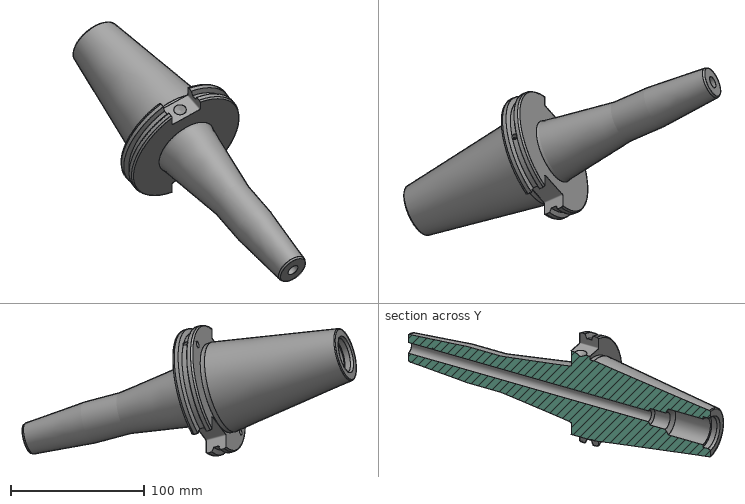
import cadquery as cq
import math

total_length = 261.5
taper_end = 100.7
relief_start = 102.3
flange_start = 104.5
flange_end = 120.9
neck_start = 123.0
sleeve_start = 181.5
sleeve_end = 210.8

taper_small_diameter = 40.5
taper_large_diameter = 69.8
relief_diameter = 69.3
flange_diameter = 98.0
collar_diameter = 49.7
neck_diameter = 48.5
sleeve_diameter = 32.0
nose_diameter = 24.3

taper_chamfer = 0.8
nose_chamfer_length = 1.5
nose_chamfer_height = 0.8
rim_chamfer_length = 1.5
rim_chamfer_height = 0.8

groove_center = (flange_start + flange_end) / 2
groove_floor_width = 4.0
groove_top_width = 7.0
groove_floor_diameter = 90.8

slot_width = 25.6
upper_slot_floor = 37.7
lower_slot_floor = 35.0
slot_corner_radius = 1.0
dimple_diameter = 9.5
dimple_depth = 2.5

mouth_diameter = 28.3
mouth_chamfer_length = 2.0
counterbore_diameter = 26.2
counterbore_depth = 6.5
thread_diameter = 22.0
thread_end = 36.5
step_diameter = 13.9
step_end = 52.3
through_diameter = 9.0

port_angle = 20.0
port_circle_radius = 41.9
port_diameter = 5.0
port_depth = 2.5
channel_diameter = 2.5
plug_diameter = 4.2

drill_point_angle = 118.0


def revolve_profile(points):
    """Revolve (x, radius) points about the X axis."""
    profile = cq.Workplane("XY").polyline(points).close()
    return profile.revolve(360, (0, 0, 0), (1, 0, 0))


def point_length(diameter):
    """Height of the cone left by a drill of this diameter."""
    return diameter / 2 / math.tan(math.radians(drill_point_angle / 2))


def make_body():
    flange_radius = flange_diameter / 2
    rim_edge_radius = flange_radius - rim_chamfer_height
    groove_floor_radius = groove_floor_diameter / 2
    nose_radius = nose_diameter / 2
    return revolve_profile([
        (0, 0),
        (0, taper_small_diameter / 2 - taper_chamfer),
        (taper_chamfer, taper_small_diameter / 2),
        (taper_end, taper_large_diameter / 2),
        (relief_start, relief_diameter / 2),
        (flange_start, relief_diameter / 2),
        (flange_start, rim_edge_radius),
        (flange_start + rim_chamfer_length, flange_radius),
        (groove_center - groove_top_width / 2, flange_radius),
        (groove_center - groove_floor_width / 2, groove_floor_radius),
        (groove_center + groove_floor_width / 2, groove_floor_radius),
        (groove_center + groove_top_width / 2, flange_radius),
        (flange_end - rim_chamfer_length, flange_radius),
        (flange_end, rim_edge_radius),
        (flange_end, collar_diameter / 2),
        (neck_start, neck_diameter / 2),
        (sleeve_start, sleeve_diameter / 2),
        (sleeve_end, sleeve_diameter / 2),
        (total_length - nose_chamfer_length, nose_radius),
        (total_length, nose_radius - nose_chamfer_height),
        (total_length, 0),
    ])


def make_bore():
    thread_point = point_length(thread_diameter) - point_length(step_diameter)
    step_point = point_length(step_diameter) - point_length(through_diameter)
    return revolve_profile([
        (0, 0),
        (0, mouth_diameter / 2),
        (mouth_chamfer_length, counterbore_diameter / 2),
        (counterbore_depth, counterbore_diameter / 2),
        (counterbore_depth, thread_diameter / 2),
        (thread_end, thread_diameter / 2),
        (thread_end + thread_point, step_diameter / 2),
        (step_end, step_diameter / 2),
        (step_end + step_point, through_diameter / 2),
        (total_length, through_diameter / 2),
        (total_length, 0),
    ])


def make_slot(floor_height, side):
    """Slot across the flange, above (side = 1) or below (side = -1) the axis."""
    depth = flange_diameter / 2 - floor_height
    slot = cq.Workplane("XY").box(
        flange_end - flange_start, slot_width, depth, centered=(True, True, False)
    )
    floor_face = "<Z" if side > 0 else ">Z"
    slot = slot.faces(floor_face).edges("|X").fillet(slot_corner_radius)
    base_height = floor_height if side > 0 else -floor_height - depth
    return slot.translate((groove_center, 0, base_height))


def make_dimple():
    """Conical recess in the floor of the upper slot."""
    cone = cq.Solid.makeCone(
        dimple_diameter / 2, 0, dimple_depth,
        cq.Vector(groove_center, 0, upper_slot_floor), cq.Vector(0, 0, -1),
    )
    return cq.Workplane(obj=cone)


def make_coolant_port(angle):
    """Stepped axial port in the flange face, meeting a radial plug hole from the groove."""
    y = math.cos(math.radians(angle))
    z = math.sin(math.radians(angle))
    radial = cq.Vector(0, y, z)
    axial = cq.Vector(1, 0, 0)
    face_point = radial * port_circle_radius + axial * flange_start
    port = cq.Solid.makeCylinder(port_diameter / 2, port_depth, face_point, axial)
    channel = cq.Solid.makeCylinder(
        channel_diameter / 2, groove_center - flange_start, face_point, axial
    )
    plug_bottom = radial * (port_circle_radius - plug_diameter / 2) + axial * groove_center
    plug_length = flange_diameter / 2 - port_circle_radius + plug_diameter / 2
    plug = cq.Solid.makeCylinder(plug_diameter / 2, plug_length, plug_bottom, radial)
    return cq.Workplane(obj=port).union(cq.Workplane(obj=channel)).union(cq.Workplane(obj=plug))


result = make_body().cut(make_bore())
result = result.cut(make_slot(upper_slot_floor, 1))
result = result.cut(make_slot(lower_slot_floor, -1))
result = result.cut(make_dimple())
for angle in (port_angle, port_angle + 180):
    result = result.cut(make_coolant_port(angle))